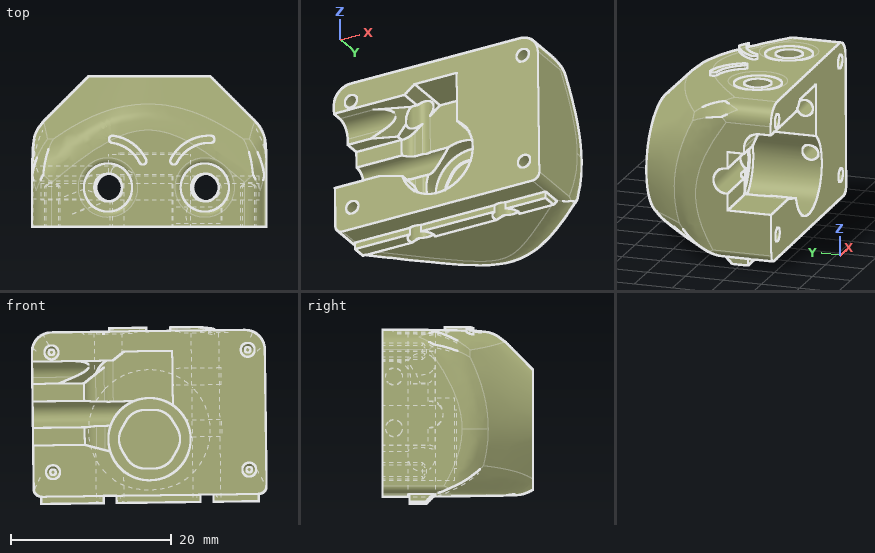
import cadquery as cq
import math

TILT = 0.75

WIDTH = 28.99
TOP = 10.22
BOTTOM = -TOP
DEPTH = 18.75
TOP_CORNER_RADIUS = 2.5
BOTTOM_CORNER_RADIUS = 1.0

CONE_Z = -2.15
CONE_BACK_RADIUS = 7.57
CONE_EDGE_RADIUS = 4.6
CORNER_BLEND_RADIUS = 9.0
CONE_OVERRUN = 5.0

BORE_Z = -3.23
BORE_RADIUS = 5.12
BORE_DEPTH = 9.0
HEX_APOTHEM = 3.65
HEX_CORNER_RADIUS = 2.7
HEX_DEPTH = 0.2

OUTSIDE_X = -WIDTH / 2 - 1.0
POCKET_TOP = 7.72
POCKET_RIGHT = 2.96
ENTRY_HALF_HEIGHT = 3.83
ENTRY_END_X = -8.05
ROOF_SLOPE_END_X = -3.0
FLARE_END = (-4.0, -4.95)
ENTRY_DEPTH = 5.7
POCKET_DEPTH = 6.53
RAMP_END_X = -6.6

STEP_TOP = 6.6
STEP_DEPTH = 3.5
STEP_RADIUS = 1.98
BEVEL_START_X = -11.2
BEVEL_WIDTH = 2.0

CHANNEL_RADIUS = 1.65
CHANNEL_Y = 5.9

PIN_RADIUS = 1.05
PIN_Y = 1.45
PIN_Z = (4.49, -1.96)
PIN_END_X = 9.0

SCREW_X = 12.2
SCREW_CENTRE_X = 0.15
SCREW_Z = (7.72, -7.18)
SCREW_RADIUS = 0.87
SCREW_TIP_RADIUS = 0.35
SCREW_DEPTH = 5.0

EYE_X = (-4.99, 7.05)
EYE_Y = 4.9
EYE_RADIUS = 1.72
DISH_OUTER_RADIUS = 3.7
DISH_FLOOR_RADIUS = 3.0
DISH_DEPTH = 0.3

BROWS = (
    ((-4.4, 10.9), (-2.1, 9.95), (-0.66, 8.2)),
    ((7.8, 10.9), (4.9, 10.1), (3.2, 8.2)),
)
BROW_WIDTH = 0.9
BROW_HEIGHT = 0.43
BROW_ROOT_Z = 9.0

RIB_X = (-13.58, 13.5)
RIB_BOTTOM = -11.13
RIB_FRONT_Y = 3.37
RIB_BACK_Y = 5.43


def into_body(sketch_points, depth):
    """Prism of an X, Z outline, from the front face to the given depth."""
    return cq.Workplane("XZ").polyline(sketch_points).close().extrude(-depth)


def y_frustum(x, z, y_start, y_end, r_start, r_end):
    """Cone frustum about an axis parallel to Y."""
    profile = [(0, y_start), (r_start, y_start), (r_end, y_end), (0, y_end)]
    solid = cq.Workplane("XY").polyline(profile).close().revolve(360, (0, 0), (0, 1))
    return solid.translate((x, 0, z))


def block(depth, growth=0.0):
    """Box of the body outline grown by an amount, from the front face back to the given depth."""
    width = WIDTH + 2 * growth
    height = TOP - BOTTOM + 2 * growth
    return cq.Workplane("XY").box(width, depth, height).translate((0, depth / 2, 0))


def dome(growth=0.0):
    """Block cut by the cone and blended along the cuts; growth offsets every face outwards."""
    overrun_depth = DEPTH + CONE_OVERRUN
    back_radius = CONE_BACK_RADIUS + growth * math.sqrt(2)
    cone = y_frustum(0, CONE_Z, 0, overrun_depth, back_radius + DEPTH, back_radius - CONE_OVERRUN)
    shape = block(overrun_depth, growth).intersect(cone)
    return shape.edges("%HYPERBOLA").fillet(CONE_EDGE_RADIUS + growth)


def corner_blend():
    """Turned solid through the top corners, its 45 degree shoulder rounded into a cylinder."""
    corner_x = WIDTH / 2 - TOP_CORNER_RADIUS
    corner_z = TOP - TOP_CORNER_RADIUS - CONE_Z
    radius = math.hypot(corner_x, corner_z) + TOP_CORNER_RADIUS
    shoulder_y = DEPTH + CONE_BACK_RADIUS - radius
    tangent_length = CORNER_BLEND_RADIUS * math.tan(math.pi / 8)
    offset_45 = tangent_length * math.sqrt(0.5)
    profile = (
        cq.Workplane("XY")
        .lineTo(radius, 0)
        .lineTo(radius, shoulder_y - tangent_length)
        .tangentArcPoint((radius - offset_45, shoulder_y + offset_45), relative=False)
        .lineTo(CONE_BACK_RADIUS, DEPTH)
        .lineTo(0, DEPTH)
        .close()
    )
    return profile.revolve(360, (0, 0), (0, 1)).translate((0, 0, CONE_Z))


def body():
    """Dome with rounded edges along Y and softened top corners."""
    rounded_block = block(DEPTH).edges("|Y and >Z").fillet(TOP_CORNER_RADIUS)
    rounded_block = rounded_block.edges("|Y and <Z").fillet(BOTTOM_CORNER_RADIUS)
    return rounded_block.intersect(dome()).intersect(corner_blend())


def brow(start, middle, end):
    """Raised curved bar with round ends that follows the body surface at a constant height."""
    path = cq.Workplane("XY").workplane(offset=BROW_ROOT_Z).moveTo(*start).threePointArc(middle, end)
    bar = path.offset2D(BROW_WIDTH / 2).extrude(TOP)
    return bar.intersect(dome(BROW_HEIGHT))


def rib():
    """Rib under the body with a back face that leans out at 45 degrees."""
    rise = BOTTOM - RIB_BOTTOM + BOTTOM_CORNER_RADIUS
    profile = [
        (RIB_FRONT_Y, RIB_BOTTOM),
        (RIB_BACK_Y, RIB_BOTTOM),
        (RIB_BACK_Y + rise, RIB_BOTTOM + rise),
        (RIB_FRONT_Y, RIB_BOTTOM + rise),
    ]
    left, right = RIB_X
    return cq.Workplane("YZ").workplane(offset=left).polyline(profile).close().extrude(right - left)


def eye(x):
    """Through hole in Z with a shallow round-lipped dish around its top."""
    hole = cq.Workplane("XY").circle(EYE_RADIUS).extrude(2 * WIDTH, both=True)
    floor_z = TOP - DISH_DEPTH
    run = DISH_OUTER_RADIUS - DISH_FLOOR_RADIUS
    lip_radius = (run**2 + DISH_DEPTH**2) / (2 * DISH_DEPTH)
    profile = (
        cq.Workplane("XZ")
        .moveTo(0, floor_z)
        .lineTo(DISH_FLOOR_RADIUS, floor_z)
        .radiusArc((DISH_OUTER_RADIUS, TOP), lip_radius)
        .lineTo(0, TOP)
        .close()
    )
    dish = profile.revolve(360, (0, 0), (0, 1))
    return hole.union(dish).translate((x, EYE_Y, 0))


def bore():
    """Round bore with a shallow round-cornered hexagon sunk in its floor."""
    round_part = y_frustum(0, 0, 0, BORE_DEPTH, BORE_RADIUS, BORE_RADIUS)
    hex_diameter = 2 * HEX_APOTHEM / math.cos(math.pi / 6)
    hexagon = cq.Workplane("XZ").polygon(6, hex_diameter).extrude(-BORE_DEPTH - HEX_DEPTH)
    hexagon = hexagon.edges("|Y").fillet(HEX_CORNER_RADIUS)
    return round_part.union(hexagon).translate((0, 0, BORE_Z))


def cable_pocket():
    """Flared pocket whose floor curves from the entry down to full depth."""
    outline = [
        (OUTSIDE_X, ENTRY_HALF_HEIGHT),
        (ENTRY_END_X, ENTRY_HALF_HEIGHT),
        (ROOF_SLOPE_END_X, POCKET_TOP),
        (POCKET_RIGHT, POCKET_TOP),
        (POCKET_RIGHT, BORE_Z),
        FLARE_END,
        (ENTRY_END_X, -ENTRY_HALF_HEIGHT),
        (OUTSIDE_X, -ENTRY_HALF_HEIGHT),
    ]
    floor = (
        cq.Workplane("XY")
        .moveTo(OUTSIDE_X, 0)
        .lineTo(POCKET_RIGHT, 0)
        .lineTo(POCKET_RIGHT, POCKET_DEPTH)
        .lineTo(RAMP_END_X, POCKET_DEPTH)
        .tangentArcPoint((ENTRY_END_X, ENTRY_DEPTH), relative=False)
        .lineTo(OUTSIDE_X, ENTRY_DEPTH)
        .close()
        .extrude(WIDTH, both=True)
    )
    return into_body(outline, POCKET_DEPTH).intersect(floor)


def roof_x(z):
    """X of the pocket's sloping roof at height z."""
    share = (z - ENTRY_HALF_HEIGHT) / (POCKET_TOP - ENTRY_HALF_HEIGHT)
    return ENTRY_END_X + share * (ROOF_SLOPE_END_X - ENTRY_END_X)


def entry_step():
    """Shallow step above the entry with a rounded inner corner, bevelled into the pocket roof."""
    end_x = roof_x(STEP_TOP)
    step = (
        cq.Workplane("YZ")
        .workplane(offset=OUTSIDE_X)
        .moveTo(0, 0)
        .lineTo(0, STEP_TOP)
        .lineTo(STEP_DEPTH - STEP_RADIUS, STEP_TOP)
        .radiusArc((STEP_DEPTH, STEP_TOP - STEP_RADIUS), STEP_RADIUS)
        .lineTo(STEP_DEPTH, 0)
        .close()
        .extrude(end_x - OUTSIDE_X)
    )
    run = end_x - BEVEL_START_X
    rise = STEP_TOP - ENTRY_HALF_HEIGHT
    bevel_plane = cq.Plane(
        (BEVEL_START_X, 0, ENTRY_HALF_HEIGHT), xDir=(rise, 0, -run), normal=(run, 0, rise)
    )
    bevel_depth = STEP_DEPTH + BEVEL_WIDTH
    section = [(-STEP_DEPTH, 0), (0, STEP_DEPTH), (BEVEL_WIDTH, bevel_depth), (BEVEL_WIDTH, 0)]
    bevel = cq.Workplane(bevel_plane).polyline(section).close().extrude(math.hypot(run, rise))
    limits = [
        (BEVEL_START_X, ENTRY_HALF_HEIGHT),
        (BEVEL_START_X, STEP_TOP),
        (end_x, STEP_TOP),
        (end_x, ENTRY_HALF_HEIGHT),
    ]
    return step.union(bevel.intersect(into_body(limits, bevel_depth)))


def cable_channel():
    """Half-round channel along the middle of the entry, ending in the bore."""
    channel = cq.Workplane("YZ").workplane(offset=OUTSIDE_X).center(CHANNEL_Y, 0)
    return channel.circle(CHANNEL_RADIUS).extrude(-OUTSIDE_X)


def pin_socket(z):
    """Blind round socket along X that opens into the pocket and the bore."""
    socket = cq.Workplane("YZ").center(PIN_Y, z).circle(PIN_RADIUS)
    return socket.extrude(PIN_END_X)


def screw_hole(x, z):
    """Blind pilot hole with a conical end."""
    tip_depth = SCREW_DEPTH + SCREW_RADIUS - SCREW_TIP_RADIUS
    straight = y_frustum(x, z, 0, SCREW_DEPTH, SCREW_RADIUS, SCREW_RADIUS)
    tip = y_frustum(x, z, SCREW_DEPTH, tip_depth, SCREW_RADIUS, SCREW_TIP_RADIUS)
    return straight.union(tip)


part = body().union(rib())
for brow_points in BROWS:
    part = part.union(brow(*brow_points))
part = part.cut(cable_pocket()).cut(entry_step()).cut(cable_channel()).cut(bore())
for pin_z in PIN_Z:
    part = part.cut(pin_socket(pin_z))
for eye_x in EYE_X:
    part = part.cut(eye(eye_x))
for screw_z in SCREW_Z:
    for side in (-1, 1):
        part = part.cut(screw_hole(SCREW_CENTRE_X + side * SCREW_X, screw_z))

result = part.rotate((0, 0, 0), (0, 1, 0), -TILT)